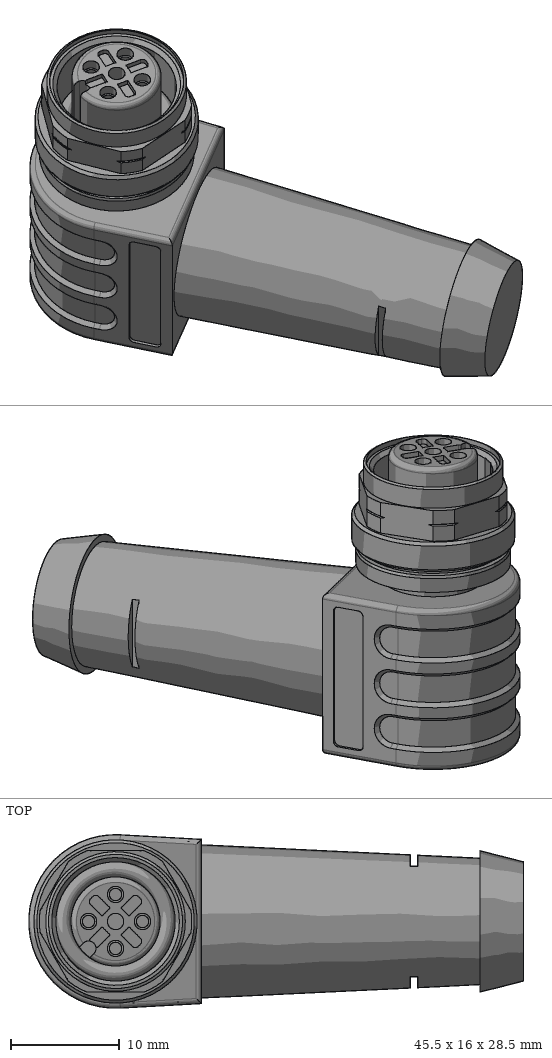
import cadquery as cq
import math


overall_length = 45.45
overall_height = 28.5

housing_radius = 15.95 / 2
housing_height = 16.0
housing_end_x = 7.9
wall_taper = 3.2
housing_fillet = 0.5
mid_height = housing_height / 2

groove_pitch = 4.45
groove_depth = 0.4
groove_half_width = 1.7
groove_floor_half_width = 1.3
groove_end_run = 0.55

label_start_x = 3.8
label_end_x = 6.8
label_height = 13.9
label_corner = 0.5
label_depth = 0.27

sleeve_start_radius = 7.05
sleeve_end_radius = 5.8
sleeve_end_x = 33.45
tip_start_radius = 13.0 / 2
tip_end_radius = 10.95 / 2
notch_x = 27.4
notch_width = 0.7
notch_half_spacing = 5.1

neck_radius = 9.4 / 2
boss_radius = 5.95
boss_bottom_radius = 5.77
boss_bottom_z = 17.05
collar_radius = 14.25 / 2
collar_bottom_z = 17.45
collar_top_z = 19.1
collar_chamfer_width = 0.1
relief_radius = 13.0 / 2
knurl_radius = 15.0 / 2
knurl_bottom_z = 19.6
knurl_top_z = 22.5
edge_chamfer = 0.27
hex_across_flats = 13.0
hex_corner_radius = 7.0
hex_top_z = 25.55
mark_z = 24.1
mark_depth = 0.15
mark_width = 0.2
rim_radius = 12.8 / 2
rim_top_z = 27.55
rim_chamfer_height = 0.15
mouth_radius = 12.3 / 2
mouth_depth = 0.5
ledge_inner_radius = 5.85
bore_radius = 10.95 / 2

insert_radius = 4.1
insert_fillet = 0.5
bore_floor_z = 21.83
seal_rise = 0.65

contact_circle_radius = 4.95 / 2
contact_count = 4
contact_diameter = 1.5
contact_pin_diameter = 1.15
contact_entry_depth = 1.0
contact_depth = 3.65
slot_width = 1.05
slot_inner_radius = 1.25
slot_outer_radius = 3.1
slot_corner = 0.35
slot_depth = 0.5
key_width = 1.35
key_inner_radius = 2.8
key_angle = 225
key_bottom_z = 22.75

taper = math.radians(wall_taper)
tangent_x = housing_radius * math.sin(taper)
tangent_y = housing_radius * math.cos(taper)


def make_housing():
    end_y = tangent_y - (housing_end_x - tangent_x) * math.tan(taper)
    return (
        cq.Workplane("XY")
        .moveTo(housing_end_x, -end_y)
        .lineTo(housing_end_x, end_y)
        .lineTo(tangent_x, tangent_y)
        .threePointArc((-housing_radius, 0), (tangent_x, -tangent_y))
        .close()
        .extrude(housing_height)
        .faces("<Z or >Z")
        .edges()
        .fillet(housing_fillet)
    )


def wall_plane(side):
    """Plane on a side wall: local x runs from the tangent line to the cable, normal points inward."""
    return cq.Plane(
        origin=(tangent_x, side * tangent_y, mid_height),
        xDir=(math.cos(taper), -side * math.sin(taper), 0),
        normal=(-math.sin(taper), -side * math.cos(taper), 0),
    )


def make_groove_ring():
    floor_radius = housing_radius - groove_depth
    overshoot = 0.45
    slope = (groove_half_width - groove_floor_half_width) / groove_depth
    outer_half_width = groove_half_width + overshoot * slope
    outer_radius = housing_radius + overshoot
    full_sweep = 180 + 2 * wall_taper
    start_angle = 90 - wall_taper
    return (
        cq.Workplane("XZ")
        .polyline([
            (floor_radius, -groove_floor_half_width),
            (outer_radius, -outer_half_width),
            (outer_radius, outer_half_width),
            (floor_radius, groove_floor_half_width),
        ])
        .close()
        .revolve(full_sweep, (0, 0), (0, 1))
        .rotate((0, 0, 0), (0, 0, 1), start_angle)
        .translate((0, 0, mid_height))
    )


def make_groove_end(side):
    """Straight, round-ended part of a groove that runs out on a flat side wall."""
    wall_angle = math.degrees(math.atan2(groove_half_width - groove_floor_half_width, groove_depth))
    slot_length = 2 * (groove_end_run + groove_half_width)
    return (
        cq.Workplane(wall_plane(side))
        .slot2D(slot_length, 2 * groove_half_width)
        .extrude(groove_depth, taper=wall_angle)
    )


def cut_grooves(body):
    ring = make_groove_ring()
    ends = [make_groove_end(side) for side in (-1, 1)]
    for step in (-1, 0, 1):
        offset = (0, 0, step * groove_pitch)
        for cutter in [ring] + ends:
            body = body.cut(cutter.translate(offset))
    return body


def cut_labels(body):
    for side in (-1, 1):
        plane = wall_plane(side)
        recess = (
            cq.Workplane(plane)
            .center((label_start_x + label_end_x) / 2 - tangent_x, 0)
            .rect(label_end_x - label_start_x, label_height)
            .extrude(label_depth)
            .edges(cq.selectors.ParallelDirSelector(plane.zDir))
            .fillet(label_corner)
        )
        body = body.cut(recess)
    return body


def make_sleeve():
    tip_end_x = overall_length - housing_radius
    sleeve = (
        cq.Workplane("XY")
        .polyline([
            (0, 0),
            (0, sleeve_start_radius),
            (housing_end_x, sleeve_start_radius),
            (sleeve_end_x, sleeve_end_radius),
            (sleeve_end_x, tip_start_radius),
            (tip_end_x, tip_end_radius),
            (tip_end_x, 0),
        ])
        .close()
        .revolve(360, (0, 0), (1, 0))
    )
    for side in (-1, 1):
        notch = cq.Workplane("XY").box(notch_width, sleeve_end_radius, 2 * sleeve_start_radius)
        notch_y = side * (notch_half_spacing + sleeve_end_radius / 2)
        sleeve = sleeve.cut(notch.translate((notch_x, notch_y, 0)))
    return sleeve.translate((0, 0, mid_height))


def make_nut_and_insert():
    """Turned profile of the nut, the sealing ring in its bore and the socket insert."""
    ledge_z = rim_top_z - mouth_depth
    seal_middle_radius = (bore_radius + insert_radius) / 2
    return (
        cq.Workplane("XZ")
        .moveTo(0, mid_height)
        .lineTo(neck_radius, mid_height)
        .lineTo(neck_radius, boss_bottom_z)
        .lineTo(boss_bottom_radius, boss_bottom_z)
        .lineTo(boss_radius, collar_bottom_z)
        .lineTo(collar_radius, collar_bottom_z)
        .lineTo(collar_radius, collar_top_z - edge_chamfer)
        .lineTo(collar_radius - collar_chamfer_width, collar_top_z)
        .lineTo(relief_radius, collar_top_z)
        .lineTo(relief_radius, knurl_bottom_z)
        .lineTo(knurl_radius - edge_chamfer, knurl_bottom_z)
        .lineTo(knurl_radius, knurl_bottom_z + edge_chamfer)
        .lineTo(knurl_radius, knurl_top_z - edge_chamfer)
        .lineTo(knurl_radius - edge_chamfer, knurl_top_z)
        .lineTo(rim_radius, knurl_top_z)
        .lineTo(rim_radius, rim_top_z - rim_chamfer_height)
        .lineTo(mouth_radius, rim_top_z)
        .lineTo(mouth_radius, ledge_z)
        .lineTo(ledge_inner_radius, ledge_z)
        .lineTo(bore_radius, ledge_z - (ledge_inner_radius - bore_radius))
        .lineTo(bore_radius, bore_floor_z)
        .threePointArc((seal_middle_radius, bore_floor_z + seal_rise), (insert_radius, bore_floor_z))
        .lineTo(insert_radius, overall_height - insert_fillet)
        .radiusArc((insert_radius - insert_fillet, overall_height), -insert_fillet)
        .lineTo(0, overall_height)
        .close()
        .revolve(360, (0, 0), (0, 1))
    )


def make_hexagon():
    """Hexagon with rounded corners, hollow inside the rim and grooved across the corners."""
    hex_height = hex_top_z - knurl_top_z
    base = cq.Workplane("XY").workplane(offset=knurl_top_z)
    corner_diameter = hex_across_flats / math.cos(math.pi / 6)
    hexagon = base.polygon(6, corner_diameter).extrude(hex_height)
    rounding = base.circle(hex_corner_radius).extrude(hex_height)
    hollow = base.circle((bore_radius + rim_radius) / 2).extrude(hex_height)
    mark = (
        cq.Workplane("XZ")
        .polyline([
            (hex_corner_radius - mark_depth, mark_z),
            (hex_corner_radius, mark_z - mark_width / 2),
            (hex_corner_radius, mark_z + mark_width / 2),
        ])
        .close()
        .revolve(360, (0, 0), (0, 1))
    )
    return hexagon.intersect(rounding).cut(hollow).cut(mark)


def drill(body, points, diameter, depth):
    holes = (
        cq.Workplane("XY")
        .workplane(offset=overall_height - depth)
        .pushPoints(points)
        .circle(diameter / 2)
        .extrude(depth)
    )
    return body.cut(holes)


def make_slot():
    """Shallow slot along +X, rounded at the two outer corners."""
    return (
        cq.Workplane("XY")
        .workplane(offset=overall_height - slot_depth)
        .center((slot_inner_radius + slot_outer_radius) / 2, 0)
        .rect(slot_outer_radius - slot_inner_radius, slot_width)
        .extrude(slot_depth)
        .edges("|Z and >X")
        .fillet(slot_corner)
    )


def make_key():
    """Key groove along +X with a round inner end, open through the side of the insert."""
    round_x = key_inner_radius + key_width / 2
    height = overall_height - key_bottom_z
    base = cq.Workplane("XY").workplane(offset=key_bottom_z)
    open_length = bore_radius - round_x
    straight = base.center(round_x + open_length / 2, 0).rect(open_length, key_width).extrude(height)
    round_end = base.center(round_x, 0).circle(key_width / 2).extrude(height)
    return straight.union(round_end)


def cut_contacts(body):
    contacts = [
        (
            contact_circle_radius * math.cos(2 * math.pi * i / contact_count),
            contact_circle_radius * math.sin(2 * math.pi * i / contact_count),
        )
        for i in range(contact_count)
    ]
    body = drill(body, contacts, contact_diameter, contact_entry_depth)
    body = drill(body, contacts, contact_pin_diameter, contact_depth)
    body = drill(body, [(0, 0)], contact_diameter, contact_depth)

    slot = make_slot()
    for i in range(contact_count):
        angle = (i + 0.5) * 360 / contact_count
        body = body.cut(slot.rotate((0, 0, 0), (0, 0, 1), angle))
    return body.cut(make_key().rotate((0, 0, 0), (0, 0, 1), key_angle))


housing = cut_labels(cut_grooves(make_housing()))
socket = cut_contacts(make_nut_and_insert().union(make_hexagon()))
result = housing.union(make_sleeve()).union(socket)